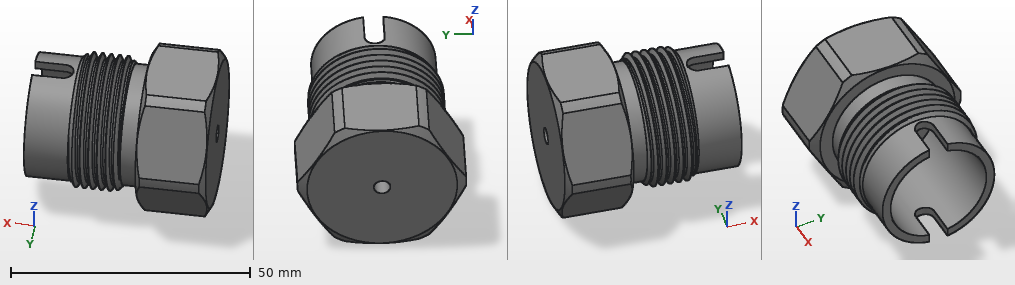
import cadquery as cq
import math

total_length = 38.85
head_length = 14.9
neck_end = 18.55
thread_end = 29.6

across_flats = 31.75
corner_diameter = 35.32
head_face_diameter = 31.4
head_chamfer_angle = 30.0

neck_diameter = 25.57
sleeve_diameter = 26.1
bore_diameter = 22.3

span_of_three_pitches = 5.45
pitch = span_of_three_pitches / 3
major_diameter = 28.52
root_diameter = 26.35
crest_width = 0.1
flank_angle = 30.0
thread_start_diameter = 25.8
ridge_start = 17.35
thread_overrun = 0.78
ridge_embed = 0.1

slot_width = 4.2
slot_depth = 8.45

hole_diameter = 3.45
hole_depth = 4.65
drill_point_angle = 118.0


def revolve_x(profile):
    """Revolve (x, radius) points about the X axis."""
    return cq.Workplane("XY").polyline(profile).close().revolve(360, (0, 0, 0), (1, 0, 0))


def cylinder_x(start, end, diameter):
    return cq.Workplane("YZ").workplane(offset=start).circle(diameter / 2).extrude(end - start)


def make_head():
    """Hexagon with flats on +Z and -Z, corners turned round and both ends chamfered."""
    corner_radius = corner_diameter / 2
    face_radius = head_face_diameter / 2
    chamfer_length = (corner_radius - face_radius) * math.tan(math.radians(head_chamfer_angle))
    hexagon = cq.Workplane("YZ").polygon(6, across_flats, circumscribed=True).extrude(head_length)
    hexagon = hexagon.rotate((0, 0, 0), (1, 0, 0), 90)
    turned_blank = revolve_x([
        (0, 0),
        (0, face_radius),
        (chamfer_length, corner_radius),
        (head_length - chamfer_length, corner_radius),
        (head_length, face_radius),
        (head_length, 0),
    ])
    return hexagon.intersect(turned_blank)


def make_thread():
    """Root cylinder with a helical ridge, trimmed by 45 degree chamfers at both ends."""
    root_radius = root_diameter / 2
    major_radius = major_diameter / 2
    base_radius = root_radius - ridge_embed
    half_crest = crest_width / 2
    half_base = half_crest + (major_radius - base_radius) * math.tan(math.radians(flank_angle))

    helix_length = thread_end + thread_overrun - ridge_start
    helix = cq.Wire.makeHelix(pitch, helix_length, base_radius)
    ridge = (
        cq.Workplane("XZ")
        .polyline([
            (base_radius, -half_base),
            (major_radius, -half_crest),
            (major_radius, half_crest),
            (base_radius, half_base),
        ])
        .close()
        .sweep(cq.Workplane(helix), isFrenet=True)
        .rotate((0, 0, 0), (0, 1, 0), 90)
        .translate((ridge_start, 0, 0))
    )

    start_radius = thread_start_diameter / 2
    end_radius = sleeve_diameter / 2
    cone_height = (thread_end - neck_end + end_radius - start_radius) / 2
    double_cone = revolve_x([
        (neck_end, 0),
        (neck_end, start_radius),
        (neck_end + cone_height, start_radius + cone_height),
        (thread_end, end_radius),
        (thread_end, 0),
    ])
    core = cylinder_x(ridge_start - pitch, thread_end + pitch, root_diameter)
    return core.union(ridge).intersect(double_cone)


def make_slot():
    """Round-ended slot through both walls of the sleeve, along Z."""
    slot_radius = slot_width / 2
    round_center = total_length - slot_depth + slot_radius
    round_end = cq.Workplane("XY").center(round_center, 0).circle(slot_radius)
    straight = cq.Workplane("XY").center((round_center + total_length) / 2, 0)
    straight = straight.rect(total_length - round_center, slot_width)
    return round_end.extrude(sleeve_diameter / 2, both=True).union(
        straight.extrude(sleeve_diameter / 2, both=True)
    )


def make_drilled_hole():
    hole_radius = hole_diameter / 2
    point_length = hole_radius / math.tan(math.radians(drill_point_angle / 2))
    return revolve_x([
        (0, 0),
        (0, hole_radius),
        (hole_depth, hole_radius),
        (hole_depth + point_length, 0),
    ])


neck = cylinder_x(head_length, neck_end, neck_diameter)
sleeve = cylinder_x(thread_end, total_length, sleeve_diameter)
bore = cylinder_x(head_length, total_length, bore_diameter)

body = make_head().union(neck).union(make_thread()).union(sleeve)
result = body.cut(bore).cut(make_slot()).cut(make_drilled_hole())